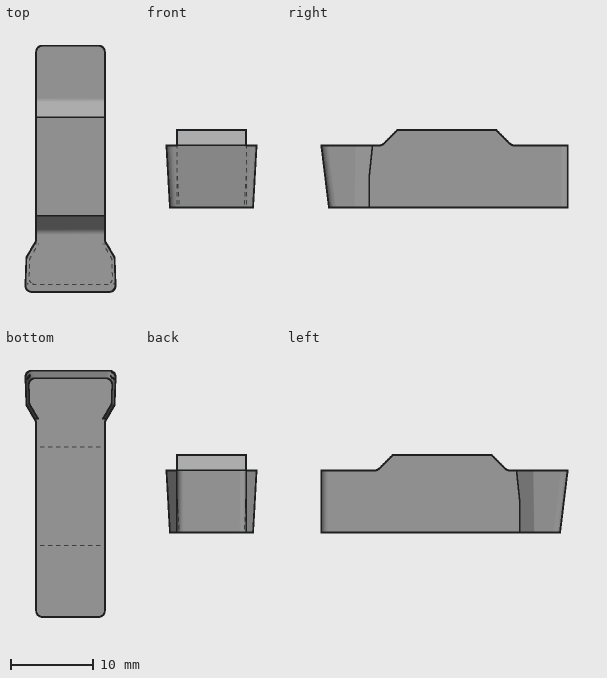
import cadquery as cq
import math


def tan_deg(angle):
    return math.tan(math.radians(angle))


total_length = 30.0
total_height = 9.46
shank_width = 8.4
shank_front = 5.87
deck_height = 7.57
block_front = 9.28
block_back = 21.28
ramp_angle = 45.0
ramp_foot_radius = 1.0
back_corner_radius = 0.8

head_width = 11.0
head_corner_radius = 0.8
side_taper = 2.0
shoulder_y = 4.19
shoulder_angle = 30.0
shoulder_radius = 0.2
head_back = 6.9
front_relief = 7.0
side_relief = 3.0


def make_shank():
    ramp_run = (total_height - deck_height) / tan_deg(ramp_angle)
    ramp_front = block_front - ramp_run
    ramp_back = block_back + ramp_run
    profile = [
        (shank_front, 0),
        (total_length, 0),
        (total_length, deck_height),
        (ramp_back, deck_height),
        (block_back, total_height),
        (block_front, total_height),
        (ramp_front, deck_height),
        (shank_front, deck_height),
    ]
    shank = cq.Workplane("YZ").polyline(profile).close().extrude(shank_width / 2, both=True)
    for foot_y in (ramp_front, ramp_back):
        foot = cq.selectors.NearestToPointSelector((0, foot_y, deck_height))
        shank = shank.edges(foot).fillet(ramp_foot_radius)
    return shank.faces(">Y").edges("|Z").fillet(back_corner_radius)


def head_outline(depth):
    """Sharp-cornered head outline at a given depth below the deck."""
    taper = tan_deg(side_taper)
    slope = tan_deg(shoulder_angle)
    inset = depth * tan_deg(side_relief)
    front_y = depth * tan_deg(front_relief)

    corner_excess = head_corner_radius * (1 / math.cos(math.radians(side_taper)) - 1 + taper)
    deck_side_x = head_width / 2 + corner_excess
    deck_shoulder_x = deck_side_x - shoulder_y * taper + shoulder_y * slope

    side_x = deck_side_x - inset / math.cos(math.radians(side_taper))
    shoulder_x = deck_shoulder_x - inset / math.cos(math.radians(shoulder_angle))
    turn_y = (shoulder_x - side_x) / (slope - taper)

    right_side = [
        (side_x - front_y * taper, front_y),
        (side_x - turn_y * taper, turn_y),
        (shoulder_x - head_back * slope, head_back),
    ]
    left_side = [(-x, y) for x, y in reversed(right_side)]
    return right_side + left_side


def make_head():
    head = (
        cq.Workplane("XY")
        .polyline(head_outline(deck_height)).close()
        .workplane(offset=deck_height)
        .polyline(head_outline(0)).close()
        .loft(ruled=True)
    )
    mid_height = deck_height / 2
    mid_outline = head_outline(mid_height)
    front_corner, shoulder_corner = mid_outline[:2]
    for corner, radius in ((front_corner, head_corner_radius), (shoulder_corner, shoulder_radius)):
        for side in (-1, 1):
            point = (side * corner[0], corner[1], mid_height)
            head = head.edges(cq.selectors.NearestToPointSelector(point)).fillet(radius)
    return head


result = make_shank().union(make_head()).clean()